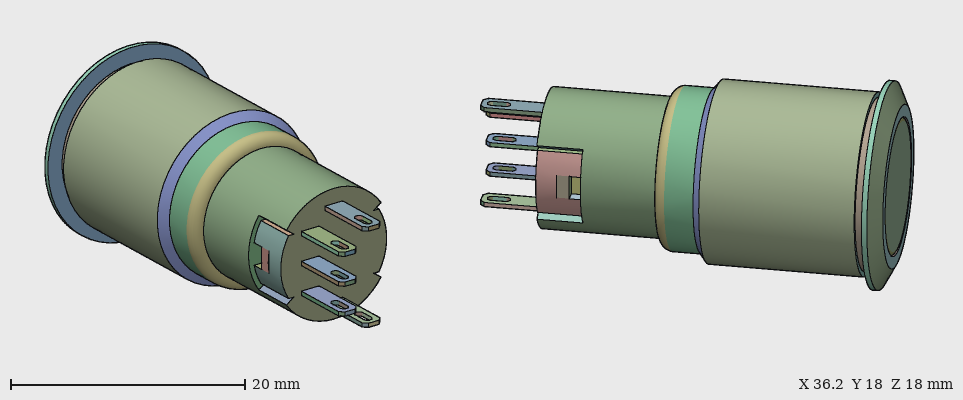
import cadquery as cq
import math

total_length = 36.25

bezel_diameter = 18.0
bezel_face_diameter = 14.15
bezel_cone_length = 1.0
bezel_length = 1.5

neck_diameter = 15.0
neck_end = 2.32
body_diameter = 15.9
body_end = 15.85
shoulder_diameter = 14.3
shoulder_start = 16.5
shoulder_end = 20.0
shoulder_fillet = 1.0
barrel_diameter = 12.2
barrel_end = 30.5

button_diameter = 12.0
button_rounding = 0.35

notch_start = 26.5
notch_rim_half_height = 3.48
tab_radius = 5.62
tab_half_height = 2.95
window_half_height = 1.05
window_length = 1.1
window_depth = 1.0
flat_length = 1.1

pin_width = 1.9
pin_thickness = 0.4
pin_tip_chamfer = 0.4
pin_slot_length = 2.0
pin_slot_width = 0.8
pin_slot_end_gap = 0.5
pin_side_offset = -2.5
pin_outer_height = 4.5
pin_inner_height = 2.8
pin_centres = [
    (0, pin_outer_height),
    (0, -pin_outer_height),
    (pin_side_offset, pin_inner_height),
    (pin_side_offset, 0),
    (pin_side_offset, -pin_inner_height),
]

barrel_radius = barrel_diameter / 2
cos_45 = math.cos(math.radians(45))


def chord_distance(radius, half_height):
    """Distance from the axis to a chord of the given half height."""
    return math.sqrt(radius**2 - half_height**2)


def make_housing():
    """Bezel, neck, body, shoulder and barrel turned about the X axis."""
    shoulder_radius = shoulder_diameter / 2
    fillet_start = shoulder_end - shoulder_fillet
    diagonal = shoulder_fillet * cos_45
    fillet_middle = (fillet_start + diagonal, shoulder_radius - shoulder_fillet + diagonal)
    profile = (
        cq.Workplane("XY")
        .lineTo(0, bezel_face_diameter / 2)
        .lineTo(bezel_cone_length, bezel_diameter / 2)
        .lineTo(bezel_length, bezel_diameter / 2)
        .lineTo(bezel_length, neck_diameter / 2)
        .lineTo(neck_end, neck_diameter / 2)
        .lineTo(neck_end, body_diameter / 2)
        .lineTo(body_end, body_diameter / 2)
        .lineTo(shoulder_start, shoulder_radius)
        .lineTo(fillet_start, shoulder_radius)
        .threePointArc(fillet_middle, (shoulder_end, shoulder_radius - shoulder_fillet))
        .lineTo(shoulder_end, barrel_radius)
        .lineTo(barrel_end, barrel_radius)
        .lineTo(barrel_end, 0)
        .close()
    )
    return profile.revolve(360, (0, 0, 0), (1, 0, 0))


def make_button_groove():
    """Ring cut around the button: straight outer wall, rounded button edge inside."""
    button_radius = button_diameter / 2
    arc_inset = button_rounding * (1 - cos_45)
    arc_middle = (arc_inset, button_radius - arc_inset)
    section = (
        cq.Workplane("XY")
        .moveTo(0, button_radius - button_rounding)
        .threePointArc(arc_middle, (button_rounding, button_radius))
        .lineTo(0, button_radius)
        .close()
    )
    return section.revolve(360, (0, 0, 0), (1, 0, 0))


def make_notch():
    """Material removed on the +Y side, leaving a latch tab between two wedge-shaped gaps."""
    rim_y = chord_distance(barrel_radius, notch_rim_half_height)
    tab_edge_y = chord_distance(tab_radius, tab_half_height)
    gap_bottom_y = rim_y * tab_half_height / notch_rim_half_height
    recess = (
        cq.Workplane("YZ", origin=(notch_start, 0, 0))
        .moveTo(gap_bottom_y, -tab_half_height)
        .lineTo(tab_edge_y, -tab_half_height)
        .threePointArc((tab_radius, 0), (tab_edge_y, tab_half_height))
        .lineTo(gap_bottom_y, tab_half_height)
        .lineTo(rim_y, notch_rim_half_height)
        .lineTo(barrel_radius, notch_rim_half_height)
        .lineTo(barrel_radius, -notch_rim_half_height)
        .lineTo(rim_y, -notch_rim_half_height)
        .close()
        .extrude(barrel_end - notch_start)
    )
    flat_y = chord_distance(tab_radius, window_half_height)
    flat = make_window_block(window_length + flat_length, flat_y)
    window = make_window_block(window_length, flat_y - window_depth)
    return recess.union(flat).union(window)


def make_window_block(length, floor_y):
    """Block from the notch start, reaching from floor_y out to the barrel surface."""
    depth = barrel_radius - floor_y
    return (
        cq.Workplane("XY", origin=(notch_start, floor_y, 0))
        .box(length, depth, 2 * window_half_height, centered=(False, False, True))
    )


def make_pin(y, z):
    """Flat pin with a chamfered tip and a slotted eye."""
    slot_centre = total_length - pin_slot_end_gap - pin_slot_length / 2
    blade = (
        cq.Workplane("XY")
        .box(total_length - barrel_end, pin_width, pin_thickness, centered=(False, True, True))
        .translate((barrel_end, 0, 0))
        .edges("|Z and >X")
        .chamfer(pin_tip_chamfer)
    )
    slot = (
        cq.Workplane("XY")
        .center(slot_centre, 0)
        .slot2D(pin_slot_length, pin_slot_width)
        .extrude(pin_thickness, both=True)
    )
    return blade.cut(slot).translate((0, y, z))


result = make_housing().cut(make_button_groove())

notch = make_notch()
result = result.cut(notch).cut(notch.mirror("XZ"))

for pin_y, pin_z in pin_centres:
    result = result.union(make_pin(pin_y, pin_z))